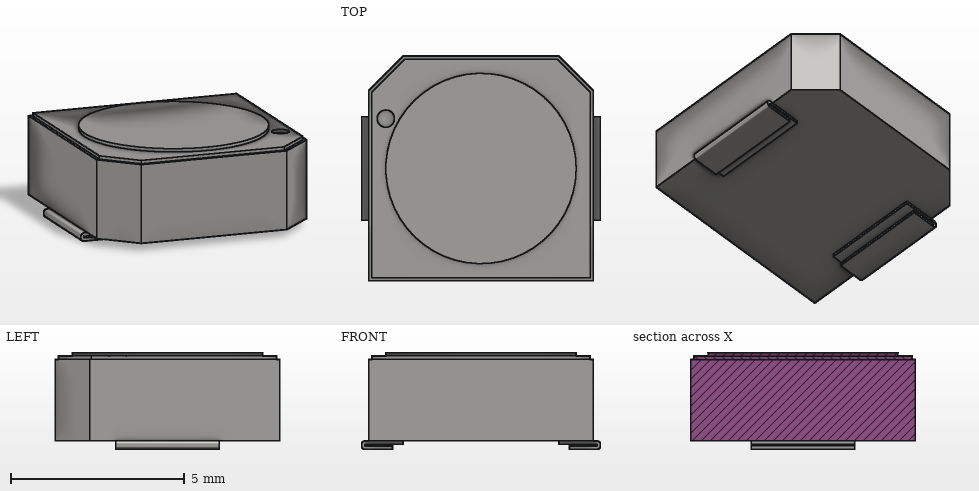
import cadquery as cq

total_height = 2.8
body_side = 6.5
corner_cut = 1.0

standoff = 0.25
plate_thickness = 0.1
disc_thickness = 0.1
disc_bottom = total_height - disc_thickness
plate_bottom = disc_bottom - plate_thickness

plate_inset = 0.1
disc_diameter = 5.5
mark_diameter = 0.5
mark_x = -2.75
mark_y = 1.44

terminal_span = 6.9
terminal_width = 3.0
strip_thickness = 0.1
upper_strip_end = 2.25
lower_strip_end = 2.55


def body_outline():
    """Square on the XY plane with its two +Y corners cut off at 45 degrees."""
    half = body_side / 2
    cut_start = half - corner_cut
    return cq.Workplane("XY").polyline([
        (-half, -half),
        (half, -half),
        (half, cut_start),
        (cut_start, half),
        (-cut_start, half),
        (-half, cut_start),
    ]).close()


def make_housing():
    return body_outline().extrude(plate_bottom - standoff).translate((0, 0, standoff))


def make_cover_plate():
    """Thin plate inset evenly from the housing edge, with a round polarity mark hole through it."""
    plate = (
        body_outline()
        .offset2D(-plate_inset)
        .extrude(plate_thickness)
        .translate((0, 0, plate_bottom))
    )
    mark = (
        cq.Workplane("XY", origin=(mark_x, mark_y, plate_bottom))
        .circle(mark_diameter / 2)
        .extrude(plate_thickness)
    )
    return plate.cut(mark)


def make_core_disc():
    return (
        cq.Workplane("XY", origin=(0, 0, disc_bottom))
        .circle(disc_diameter / 2)
        .extrude(disc_thickness)
    )


def make_terminal(side):
    """Strip folded back under itself; side is -1 for the -X end and +1 for the +X end."""
    outer_x = side * terminal_span / 2
    bend_x = outer_x - side * strip_thickness
    upper_x = side * upper_strip_end
    lower_x = side * lower_strip_end
    gap_bottom = strip_thickness
    gap_top = standoff - strip_thickness
    return (
        cq.Workplane("XZ")
        .moveTo(upper_x, standoff)
        .lineTo(bend_x, standoff)
        .tangentArcPoint((outer_x, gap_top), relative=False)
        .lineTo(outer_x, gap_bottom)
        .tangentArcPoint((bend_x, 0), relative=False)
        .lineTo(lower_x, 0)
        .lineTo(lower_x, gap_bottom)
        .lineTo(bend_x, gap_bottom)
        .lineTo(bend_x, gap_top)
        .lineTo(upper_x, gap_top)
        .close()
        .extrude(terminal_width / 2, both=True)
    )


housing = make_housing()
cover_plate = make_cover_plate()
core_disc = make_core_disc()
terminals = [make_terminal(side) for side in (-1, 1)]

result = cq.Compound.makeCompound([
    housing.val(),
    cover_plate.val(),
    core_disc.val(),
    *[terminal.val() for terminal in terminals],
])